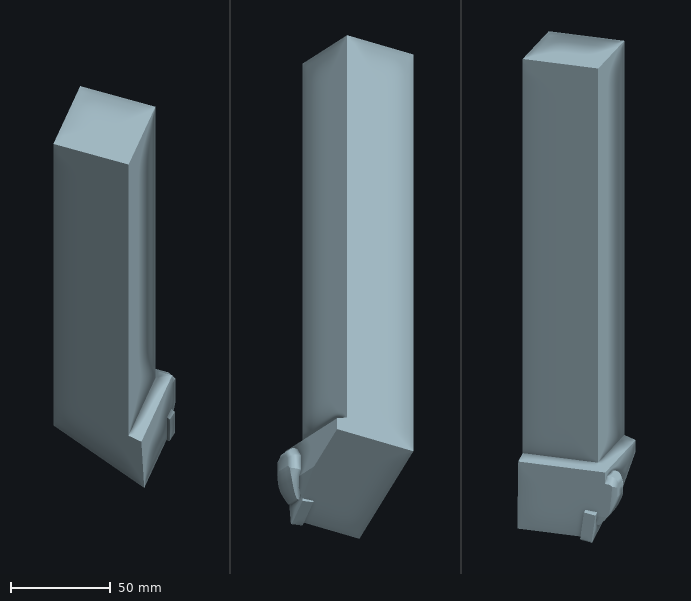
import cadquery as cq
import math

TOTAL_LENGTH = 251.4
SHANK_SIZE = 40.0

HEAD_DEPTH = 46.0
SHOULDER_Z = 39.5
SHOULDER_DROP = 2.0
HEAD_TOP_X = 46.8
HEAD_TIP_X = 48.3
HEAD_TIP_Z = 2.0
OBLIQUE_START_Z = 31.5
STEP_Z = SHOULDER_Z - SHOULDER_DROP

SLOPE_START = (HEAD_DEPTH, 18.9)
SLOPE_END = (40.2, 3.8)

INSERT_SIDE = 15.5
INSERT_THICKNESS = 6.3
INSERT_ANGLE = 55.0
NOSE_RADIUS = 0.8
INSERT_TILT = 8.0
INSERT_AXIS_ANGLE = 120.5
NOSE_OVERSHOOT = 0.38
NOSE_X = 50.3 - NOSE_OVERSHOOT
NOSE_Y = 40.0
NOSE_Z = 0.1

CLAMP_BASE_Y = 41.5
CLAMP_TOP_Y = 51.5
CLAMP_EDGE_RADIUS = 4.0
CLAMP_LEFT_X = 32.2
CLAMP_RIGHT_X = 47.8
CLAMP_TOP_Z = 34.5
CLAMP_PLAN = [
    (CLAMP_LEFT_X, 29.5),
    (35.5, CLAMP_TOP_Z),
    (43.7, CLAMP_TOP_Z),
    (CLAMP_RIGHT_X, 30.7),
    (CLAMP_RIGHT_X, 7.5),
    (41.2, 7.5),
    (CLAMP_LEFT_X, 21.5),
]
CLAMP_FRONT_START = (CLAMP_TOP_Y, 24.0)
CLAMP_FRONT_MID = (48.5, 15.5)
CLAMP_TOE = (43.2, 9.3)


def extrude_along_y(outline, start_y, end_y):
    """Extrude an XZ outline from start_y to end_y."""
    return outline.extrude(start_y - end_y).translate((0, start_y, 0))


def head_outline():
    return cq.Workplane("XZ").polyline([
        (0, OBLIQUE_START_Z),
        (HEAD_TIP_X, HEAD_TIP_Z),
        (HEAD_TOP_X, STEP_Z),
        (SHANK_SIZE, SHOULDER_Z),
        (0, SHOULDER_Z),
    ]).close()


def make_shank():
    return cq.Workplane("XY").box(
        SHANK_SIZE, SHANK_SIZE, TOTAL_LENGTH - OBLIQUE_START_Z, centered=False
    ).translate((0, 0, OBLIQUE_START_Z))


def make_head():
    """Oblique head with a sloping rear shoulder and a slope beside the insert."""
    head = extrude_along_y(head_outline(), 0, HEAD_DEPTH)
    side = cq.Workplane("YZ").polyline([
        (0, 0),
        (SLOPE_END[0], 0),
        SLOPE_END,
        SLOPE_START,
        (HEAD_DEPTH, STEP_Z),
        (SHANK_SIZE, SHOULDER_Z),
        (0, SHOULDER_Z),
    ]).close().extrude(NOSE_X)
    return head.intersect(side)


def make_clamp():
    """Polygonal block with rounded top edges and a curved front, within the head outline."""
    plan = cq.Workplane("XZ").polyline(CLAMP_PLAN).close()
    block = extrude_along_y(plan, CLAMP_BASE_Y, CLAMP_TOP_Y).faces(">Y").edges().fillet(CLAMP_EDGE_RADIUS)
    side = (
        cq.Workplane("YZ")
        .moveTo(CLAMP_BASE_Y, CLAMP_TOP_Z)
        .lineTo(CLAMP_TOP_Y, CLAMP_TOP_Z)
        .lineTo(*CLAMP_FRONT_START)
        .threePointArc(CLAMP_FRONT_MID, CLAMP_TOE)
        .lineTo(CLAMP_BASE_Y, CLAMP_TOE[1])
        .close()
        .extrude(NOSE_X)
    )
    limit = extrude_along_y(head_outline(), CLAMP_BASE_Y, CLAMP_TOP_Y)
    return block.intersect(side).intersect(limit)


def insert_plane():
    """Rake plane: origin at the nose, local X along the long diagonal."""
    axis = math.radians(INSERT_AXIS_ANGLE)
    tilt = math.radians(INSERT_TILT)
    along = (math.cos(axis) * math.cos(tilt), math.sin(tilt), math.sin(axis) * math.cos(tilt))
    normal = (-math.cos(axis) * math.sin(tilt), math.cos(tilt), -math.sin(axis) * math.sin(tilt))
    return cq.Plane(origin=(NOSE_X, NOSE_Y, NOSE_Z), xDir=along, normal=normal)


def make_rhombus(height):
    """Rhombic prism on the rake plane with both acute corners rounded."""
    half_angle = math.radians(INSERT_ANGLE / 2)
    half_length = INSERT_SIDE * math.cos(half_angle)
    half_width = INSERT_SIDE * math.sin(half_angle)
    corner_cut = NOSE_RADIUS / math.sin(half_angle) - NOSE_RADIUS
    plane = insert_plane()
    prism = cq.Workplane(plane).polyline([
        (-corner_cut, 0),
        (half_length - corner_cut, -half_width),
        (2 * half_length - corner_cut, 0),
        (half_length - corner_cut, half_width),
    ]).close().extrude(height)
    nose_edges = cq.selectors.ParallelDirSelector(plane.zDir)
    acute = prism.edges(nose_edges).sort(
        lambda edge: -abs(plane.toLocalCoords(edge.Center()).x - half_length + corner_cut)
    )[:2]
    return acute.fillet(NOSE_RADIUS)


def make_insert():
    return make_rhombus(-INSERT_THICKNESS)


def make_holder(insert):
    """Shank and head with an open insert pocket, closed over by the clamp."""
    open_pocket = make_rhombus(HEAD_DEPTH)
    body = make_shank().union(make_head()).cut(open_pocket)
    return body.union(make_clamp()).cut(insert)


insert = make_insert()
holder = make_holder(insert)

result = cq.Compound.makeCompound([holder.solids().val(), insert.solids().val()])